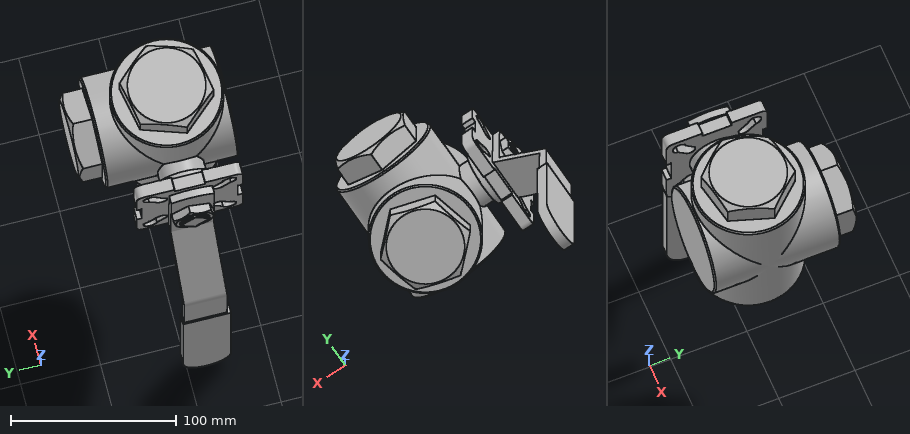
import cadquery as cq
import math


BODY_D = 69.0
BODY_EDGE_CHAMFER = 1.0
PORT_FACE = 46.5
BLIND_FACE = 36.3

HEAD_FLATS = 49.5
HEAD_HEIGHT = 14.7
HEAD_FACE_D = 47.5
TOP_HEAD_TURN = 11.5
BOTTOM_HEAD_TURN = 16.0
BACK_HEAD_TURN = 90.0
HEX_CHAMFER_ANGLE = 30.0

NECK_D = 29.0
COLLAR_D = 36.0
COLLAR_EDGE_DEPTH = 1.0
COLLAR_EDGE_STEP = 0.3
COLLAR_START = 42.5
PAD_START = 49.0
PAD_THICKNESS = 8.0
PAD_SIZE = 66.4
PAD_CORNER_R = 4.3
NOTCH_WIDTH = 19.0
NOTCH_DEPTH = 3.2
OUTER_BOLT_CIRCLE_D = 70.0
OUTER_BOLT_HOLE_D = 8.5
INNER_BOLT_CIRCLE_D = 50.0
INNER_BOLT_SLOT_W = 7.0

STEM_D = 18.6
STEM_FLATS = 15.0
STEM_TIP = 70.2
STEM_TIP_CHAMFER = 0.6
STEM_ROUND_STEP = 0.1

STRIP_WIDTH = 27.0
STRIP_THICKNESS = 5.0
STRIP_START = 58.3
STRIP_TOP_Z = 29.7
STRIP_SHOULDER_Z = 27.2
STRIP_TILT = 0.4
UPPER_BEND_Z = -30.9
LOWER_BEND_Z = -75.7
BEND_INNER_R = 2.0
STRIP_INSIDE_GRIP = 30.0

GRIP_WIDTH = 30.0
GRIP_THICKNESS = 7.0
GRIP_OUTER_FACE = 99.05
GRIP_TOP_Z = -109.1
GRIP_BOTTOM_Z = -207.21

NUT_FLATS = 24.0
NUT_HEIGHT = 5.5
NUT_FACE_D = 23.5
NUT_TURN = 10.6

STRIP_END = STRIP_START + STRIP_THICKNESS


def hex_head(flats, height, face_d, turn):
    """Hexagonal prism on the XY plane with its upper corners turned down to face_d."""
    corner_d = flats / math.cos(math.pi / 6)
    prism = cq.Workplane("XY").polygon(6, corner_d).extrude(height)
    prism = prism.rotate((0, 0, 0), (0, 0, 1), turn)
    cut_width = (corner_d - face_d) / 2
    cut_depth = cut_width * math.tan(math.radians(HEX_CHAMFER_ANGLE))
    envelope = cq.Workplane("XY").circle(corner_d / 2).extrude(height)
    envelope = envelope.faces(">Z").chamfer(cut_depth, cut_width)
    return prism.intersect(envelope)


def outward_plane(distance):
    """Plane facing -X at a distance from the body axis; local x is Z and local y is Y."""
    return cq.Plane(origin=(-distance, 0, 0), xDir=(0, 0, 1), normal=(-1, 0, 0))


def make_body():
    upright = cq.Workplane("XY").circle(BODY_D / 2).extrude(PORT_FACE, both=True)
    cross = cq.Workplane("XZ", origin=(0, PORT_FACE, 0)).circle(BODY_D / 2)
    cross = cross.extrude(PORT_FACE + BLIND_FACE)
    upright = upright.faces("|Z").chamfer(BODY_EDGE_CHAMFER)
    cross = cross.faces("|Y").chamfer(BODY_EDGE_CHAMFER)
    return upright.union(cross)


def make_port_heads():
    def head(turn):
        return hex_head(HEAD_FLATS, HEAD_HEIGHT, HEAD_FACE_D, turn).translate((0, 0, PORT_FACE))

    top = head(TOP_HEAD_TURN)
    bottom = head(BOTTOM_HEAD_TURN).mirror("XY")
    back = head(BACK_HEAD_TURN).rotate((0, 0, 0), (1, 0, 0), -90)
    return [top, bottom, back]


def make_stem_housing():
    neck = cq.Workplane(outward_plane(0)).circle(NECK_D / 2).extrude(PAD_START)
    collar = cq.Workplane(outward_plane(COLLAR_START)).circle(COLLAR_D / 2)
    collar = collar.extrude(PAD_START - COLLAR_START)
    collar = collar.faces(">X").chamfer(COLLAR_EDGE_DEPTH, COLLAR_EDGE_STEP)
    return neck.union(collar)


def make_mounting_pad():
    plane = outward_plane(PAD_START)
    pad = cq.Workplane(plane).rect(PAD_SIZE, PAD_SIZE).extrude(PAD_THICKNESS)
    pad = pad.edges("|X").fillet(PAD_CORNER_R)
    notch = cq.Workplane(plane).center(PAD_SIZE / 2, 0).rect(2 * NOTCH_DEPTH, NOTCH_WIDTH)
    notch = notch.extrude(PAD_THICKNESS)

    inner_r = INNER_BOLT_CIRCLE_D / 2
    outer_r = OUTER_BOLT_CIRCLE_D / 2
    slot_length = outer_r - inner_r + INNER_BOLT_SLOT_W
    slot = cq.Workplane(plane).center((inner_r + outer_r) / 2, 0)
    slot = slot.slot2D(slot_length, INNER_BOLT_SLOT_W).extrude(PAD_THICKNESS)
    hole = cq.Workplane(plane).center(outer_r, 0).circle(OUTER_BOLT_HOLE_D / 2)
    keyhole = slot.union(hole.extrude(PAD_THICKNESS))

    for side in range(4):
        side_angle = 90 * side
        pad = pad.cut(notch.rotate((0, 0, 0), (1, 0, 0), side_angle))
        pad = pad.cut(keyhole.rotate((0, 0, 0), (1, 0, 0), side_angle + 45))
    return pad


def make_stem():
    plane = outward_plane(PAD_START)
    round_length = STRIP_END + NUT_HEIGHT + STEM_ROUND_STEP - PAD_START
    round_bar = cq.Workplane(plane).circle(STEM_D / 2).extrude(round_length)

    tip_length = STEM_TIP - PAD_START
    square = cq.Workplane(plane).rect(STEM_FLATS, STEM_FLATS).extrude(tip_length)
    square = square.faces("<X").chamfer(STEM_TIP_CHAMFER)
    square = square.rotate((0, 0, 0), (1, 0, 0), 45)
    corner_limit = cq.Workplane(plane).circle(STEM_D / 2).extrude(tip_length)
    return round_bar.union(square.intersect(corner_limit))


def make_lever_strip():
    upper_x = -STRIP_START - STRIP_THICKNESS / 2
    lower_x = -GRIP_OUTER_FACE + GRIP_THICKNESS / 2
    strip_end_z = GRIP_TOP_Z - STRIP_INSIDE_GRIP
    bend_angle = math.atan2(upper_x - lower_x, UPPER_BEND_Z - LOWER_BEND_Z)
    half = STRIP_THICKNESS / 2
    mitre = half * math.tan(bend_angle / 2)

    profile = [
        (upper_x - half, STRIP_TOP_Z),
        (upper_x + half, STRIP_TOP_Z),
        (upper_x + half, UPPER_BEND_Z - mitre),
        (lower_x + half, LOWER_BEND_Z - mitre),
        (lower_x + half, strip_end_z),
        (lower_x - half, strip_end_z),
        (lower_x - half, LOWER_BEND_Z + mitre),
        (upper_x - half, UPPER_BEND_Z + mitre),
    ]
    strip = cq.Workplane("XZ").polyline(profile).close().extrude(STRIP_WIDTH / 2, both=True)

    bend_outer_r = BEND_INNER_R + STRIP_THICKNESS
    bends = [
        (upper_x - half, UPPER_BEND_Z + mitre, BEND_INNER_R),
        (upper_x + half, UPPER_BEND_Z - mitre, bend_outer_r),
        (lower_x - half, LOWER_BEND_Z + mitre, bend_outer_r),
        (lower_x + half, LOWER_BEND_Z - mitre, BEND_INNER_R),
    ]
    for x, z, radius in bends:
        strip = strip.edges(cq.selectors.NearestToPointSelector((x, 0, z))).fillet(radius)

    half_width = STRIP_WIDTH / 2
    outline = (
        cq.Workplane(outward_plane(0))
        .moveTo(strip_end_z, -half_width)
        .lineTo(STRIP_SHOULDER_Z, -half_width)
        .threePointArc((STRIP_TOP_Z, 0), (STRIP_SHOULDER_Z, half_width))
        .lineTo(strip_end_z, half_width)
        .close()
        .extrude(GRIP_OUTER_FACE)
    )
    return strip.intersect(outline).rotate((0, 0, 0), (1, 0, 0), STRIP_TILT)


def make_grip():
    half_width = GRIP_WIDTH / 2
    round_z = GRIP_BOTTOM_Z + half_width
    return (
        cq.Workplane(outward_plane(GRIP_OUTER_FACE - GRIP_THICKNESS))
        .moveTo(GRIP_TOP_Z, -half_width)
        .lineTo(round_z, -half_width)
        .threePointArc((GRIP_BOTTOM_Z, 0), (round_z, half_width))
        .lineTo(GRIP_TOP_Z, half_width)
        .close()
        .extrude(GRIP_THICKNESS)
    )


def make_nut():
    nut = hex_head(NUT_FLATS, NUT_HEIGHT, NUT_FACE_D, NUT_TURN)
    return nut.rotate((0, 0, 0), (0, 1, 0), -90).translate((-STRIP_END, 0, 0))


result = make_body()
pieces = make_port_heads() + [
    make_stem_housing(),
    make_mounting_pad(),
    make_stem(),
    make_lever_strip(),
    make_nut(),
    make_grip(),
]
for piece in pieces:
    result = result.union(piece)